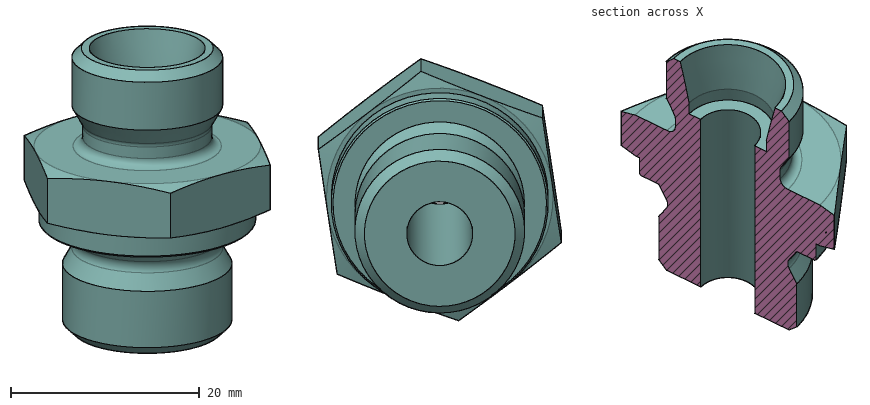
import cadquery as cq
import math

TOTAL_HEIGHT = 31.5
COLLAR_BOTTOM = 12.0
HEX_BOTTOM = 14.5
HEX_TOP = 20.5

ACROSS_FLATS = 24.0
HEX_CHAMFER_ANGLE = 15.0

STUD_RADIUS = 18.0 / 2
COLLAR_RADIUS = 23.0 / 2
COLLAR_CHAMFER = 0.2
STUD_TAPER_BOTTOM = 7.35
GROOVE_ARC_RADIUS = 1.25
GROOVE_CENTRE = 9.7
GROOVE_NECK_RADIUS = 7.85

TOP_STUD_RADIUS = 16.0 / 2
TOP_STUD_BOTTOM = 25.1
NECK_RADIUS = 13.7 / 2
NECK_FILLET = 1.0
NECK_BLEND_BOTTOM = 22.8
NECK_BLEND_RADIUS = 0.88

END_CHAMFER = 1.0
TAPER_ANGLE = 30.0

BORE_RADIUS = 7.0 / 2
SOCKET_RADIUS = 10.0 / 2
SOCKET_DEPTH = 7.0
MOUTH_RADIUS = 6.15
MOUTH_HALF_ANGLE = 12.0

SIN_TAPER = math.sin(math.radians(TAPER_ANGLE))
COS_TAPER = math.cos(math.radians(TAPER_ANGLE))
TAN_TAPER = math.tan(math.radians(TAPER_ANGLE))


def make_turned_body():
    """Revolve the stepped outside shape of both studs, the core and the collar."""
    groove_half_height = GROOVE_ARC_RADIUS * SIN_TAPER
    groove_edge_radius = GROOVE_NECK_RADIUS + GROOVE_ARC_RADIUS * (1 - COS_TAPER)
    groove_low = GROOVE_CENTRE - groove_half_height
    groove_high = GROOVE_CENTRE + groove_half_height
    flank_top_radius = groove_edge_radius + (COLLAR_BOTTOM - groove_high) * TAN_TAPER

    blend_top = NECK_BLEND_BOTTOM + NECK_BLEND_RADIUS * SIN_TAPER
    blend_top_radius = NECK_RADIUS + NECK_BLEND_RADIUS * (1 - COS_TAPER)
    half_taper = math.radians(TAPER_ANGLE / 2)
    blend_mid = NECK_BLEND_BOTTOM + NECK_BLEND_RADIUS * math.sin(half_taper)
    blend_mid_radius = NECK_RADIUS + NECK_BLEND_RADIUS * (1 - math.cos(half_taper))

    fillet_mid_offset = NECK_FILLET * (1 - math.sqrt(0.5))

    profile = (
        cq.Workplane("XZ")
        .moveTo(0, 0)
        .lineTo(STUD_RADIUS - END_CHAMFER, 0)
        .lineTo(STUD_RADIUS, END_CHAMFER)
        .lineTo(STUD_RADIUS, STUD_TAPER_BOTTOM)
        .lineTo(groove_edge_radius, groove_low)
        .threePointArc((GROOVE_NECK_RADIUS, GROOVE_CENTRE), (groove_edge_radius, groove_high))
        .lineTo(flank_top_radius, COLLAR_BOTTOM)
        .lineTo(COLLAR_RADIUS - COLLAR_CHAMFER, COLLAR_BOTTOM)
        .lineTo(COLLAR_RADIUS, COLLAR_BOTTOM + COLLAR_CHAMFER)
        .lineTo(COLLAR_RADIUS, HEX_TOP)
        .lineTo(NECK_RADIUS + NECK_FILLET, HEX_TOP)
        .threePointArc(
            (NECK_RADIUS + fillet_mid_offset, HEX_TOP + fillet_mid_offset),
            (NECK_RADIUS, HEX_TOP + NECK_FILLET),
        )
        .lineTo(NECK_RADIUS, NECK_BLEND_BOTTOM)
        .threePointArc((blend_mid_radius, blend_mid), (blend_top_radius, blend_top))
        .lineTo(TOP_STUD_RADIUS, TOP_STUD_BOTTOM)
        .lineTo(TOP_STUD_RADIUS, TOTAL_HEIGHT - END_CHAMFER)
        .lineTo(TOP_STUD_RADIUS - END_CHAMFER, TOTAL_HEIGHT)
        .lineTo(0, TOTAL_HEIGHT)
        .close()
    )
    return profile.revolve(360, (0, 0, 0), (0, 1, 0))


def make_hexagon():
    """Hexagon with corners on the Y axis and conical chamfers on both ends."""
    corner_radius = ACROSS_FLATS / math.sqrt(3)
    flat_radius = ACROSS_FLATS / 2
    chamfer_drop = (corner_radius - flat_radius) * math.tan(math.radians(HEX_CHAMFER_ANGLE))
    prism = (
        cq.Workplane("XY", origin=(0, 0, HEX_BOTTOM))
        .polygon(6, 2 * corner_radius)
        .extrude(HEX_TOP - HEX_BOTTOM)
        .rotate((0, 0, 0), (0, 0, 1), 90)
    )
    envelope = (
        cq.Workplane("XZ")
        .moveTo(0, HEX_BOTTOM)
        .lineTo(flat_radius, HEX_BOTTOM)
        .lineTo(corner_radius, HEX_BOTTOM + chamfer_drop)
        .lineTo(corner_radius, HEX_TOP - chamfer_drop)
        .lineTo(flat_radius, HEX_TOP)
        .lineTo(0, HEX_TOP)
        .close()
        .revolve(360, (0, 0, 0), (0, 1, 0))
    )
    return prism.intersect(envelope)


def make_bore():
    """Through bore with a cylindrical tube socket and a conical mouth at the top."""
    cone_depth = (MOUTH_RADIUS - SOCKET_RADIUS) / math.tan(math.radians(MOUTH_HALF_ANGLE))
    socket_floor = TOTAL_HEIGHT - SOCKET_DEPTH
    return (
        cq.Workplane("XZ")
        .moveTo(0, 0)
        .lineTo(BORE_RADIUS, 0)
        .lineTo(BORE_RADIUS, socket_floor)
        .lineTo(SOCKET_RADIUS, socket_floor)
        .lineTo(SOCKET_RADIUS, TOTAL_HEIGHT - cone_depth)
        .lineTo(MOUTH_RADIUS, TOTAL_HEIGHT)
        .lineTo(0, TOTAL_HEIGHT)
        .close()
        .revolve(360, (0, 0, 0), (0, 1, 0))
    )


result = make_turned_body().union(make_hexagon()).cut(make_bore())